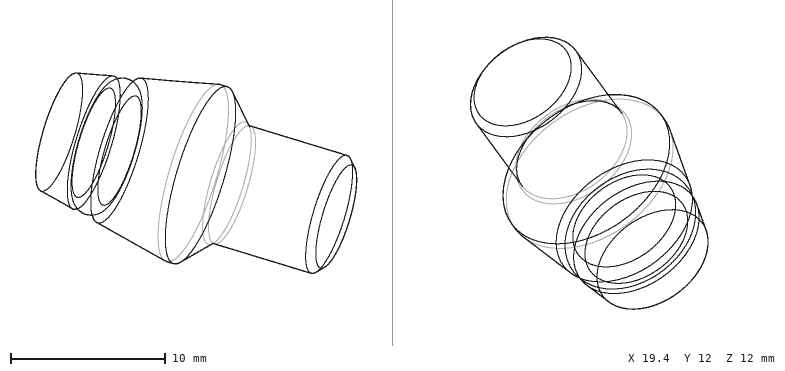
import cadquery as cq
import math

total_length = 19.41
collar_radius = 6.0
end_radius = 4.0
groove_start = 2.43
groove_end = 4.23
ring_outer_radius = 4.6
collar_start = 9.4
collar_width = 0.5
end_chamfer = 0.5
neck_fillet = 0.5
shoulder_angle = math.radians(45)

taper_slope = (collar_radius - end_radius) / collar_start
collar_end = collar_start + collar_width
shoulder_length = (collar_radius - end_radius) / math.tan(shoulder_angle)
neck_x = collar_end + shoulder_length
ring_section_radius = (groove_end - groove_start) / 2
ring_center_x = (groove_start + groove_end) / 2
ring_center_radius = ring_outer_radius - ring_section_radius


def taper_radius(x):
    return end_radius + taper_slope * x


fillet_setback = neck_fillet * math.tan(shoulder_angle / 2)
fillet_start = (
    neck_x - fillet_setback * math.cos(shoulder_angle),
    end_radius + fillet_setback * math.sin(shoulder_angle),
)
fillet_end_x = neck_x + fillet_setback
fillet_middle = (
    fillet_end_x - neck_fillet * math.sin(shoulder_angle / 2),
    end_radius + neck_fillet * (1 - math.cos(shoulder_angle / 2)),
)

half_section = (
    cq.Workplane("XY")
    .lineTo(0, end_radius)
    .lineTo(groove_start, taper_radius(groove_start))
    .lineTo(groove_start, ring_center_radius)
    .threePointArc((ring_center_x, ring_outer_radius), (groove_end, ring_center_radius))
    .lineTo(groove_end, taper_radius(groove_end))
    .lineTo(collar_start, collar_radius)
    .lineTo(collar_end, collar_radius)
    .lineTo(*fillet_start)
    .threePointArc(fillet_middle, (fillet_end_x, end_radius))
    .lineTo(total_length - end_chamfer, end_radius)
    .lineTo(total_length, end_radius - end_chamfer)
    .lineTo(total_length, 0)
    .close()
)

result = half_section.revolve(360, (0, 0, 0), (1, 0, 0))